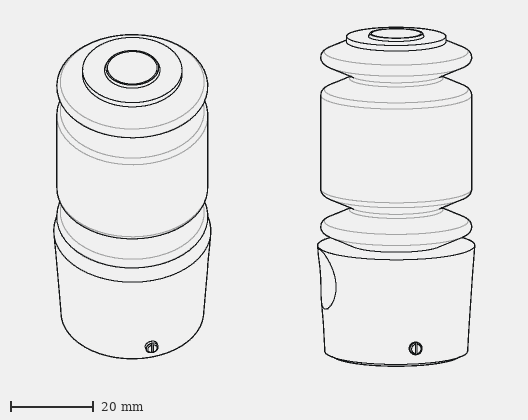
import cadquery as cq
import math

total_height = 78.8
base_height = 0.8
cup_top = 26.8
neck_z = 27.2

cup_top_radius = 19.0
cup_bottom_radius = 17.25
base_top_radius = 16.1
base_bottom_radius = 15.6

ridge_radius = 36.5 / 2
ridge_round = 1.5
groove_radius = 10.95
groove_round = 0.55
cone_angle = math.radians(24.5)
lower_ridge_z = 31.4
barrel_height = 23.0

disc_radius = 24.0 / 2
disc_top = 78.1
lip_bottom_radius = 6.7
lip_top_radius = 6.4
bore_radius = 12.0 / 2

port_diameter = 14.5
port_z = 19.4

screw_diameter = 3.0
screw_tip = 18.7
screw_root = 15.75
screw_z = 4.7
screw_chamfer = 0.3
slot_width = 0.4
slot_depth = 0.4

ridge_tangent_r = ridge_radius - ridge_round * (1 - math.sin(cone_angle))
ridge_tangent_z = ridge_round * math.cos(cone_angle)
groove_tangent_r = groove_radius + groove_round * (1 - math.sin(cone_angle))
groove_tangent_z = groove_round * math.cos(cone_angle)
cone_height = (ridge_tangent_r - groove_tangent_r) * math.tan(cone_angle)
ridge_to_groove = ridge_tangent_z + cone_height + groove_tangent_z

lower_groove_z = lower_ridge_z + ridge_to_groove
barrel_bottom = lower_groove_z + ridge_to_groove
barrel_top = barrel_bottom + barrel_height
upper_groove_z = barrel_top + ridge_to_groove
upper_ridge_z = upper_groove_z + ridge_to_groove
neck_radius = ridge_tangent_r - (lower_ridge_z - ridge_tangent_z - neck_z) / math.tan(cone_angle)
disc_bottom = upper_ridge_z + ridge_tangent_z + (ridge_tangent_r - disc_radius) * math.tan(cone_angle)


def add_ridge(outline, bottom_z, top_z):
    """Continue the outline around a rounded ridge, with a straight wall if it is tall."""
    middle_r = ridge_radius - ridge_round * (1 - math.cos((math.pi / 2 - cone_angle) / 2))
    middle_z = ridge_round * math.sin((math.pi / 2 - cone_angle) / 2)
    outline = outline.lineTo(ridge_tangent_r, bottom_z - ridge_tangent_z)
    if top_z == bottom_z:
        return outline.threePointArc(
            (ridge_radius, top_z), (ridge_tangent_r, top_z + ridge_tangent_z)
        )
    outline = outline.threePointArc((middle_r, bottom_z - middle_z), (ridge_radius, bottom_z))
    outline = outline.lineTo(ridge_radius, top_z)
    return outline.threePointArc(
        (middle_r, top_z + middle_z), (ridge_tangent_r, top_z + ridge_tangent_z)
    )


def add_groove(outline, z):
    """Continue the outline down a cone, around a rounded groove."""
    outline = outline.lineTo(groove_tangent_r, z - groove_tangent_z)
    return outline.threePointArc((groove_radius, z), (groove_tangent_r, z + groove_tangent_z))


def make_body():
    outline = (
        cq.Workplane("XZ")
        .moveTo(bore_radius, 0)
        .lineTo(base_bottom_radius, 0)
        .lineTo(base_top_radius, base_height)
        .lineTo(cup_bottom_radius, base_height)
        .lineTo(cup_top_radius, cup_top)
        .lineTo(neck_radius, neck_z)
    )
    outline = add_ridge(outline, lower_ridge_z, lower_ridge_z)
    outline = add_groove(outline, lower_groove_z)
    outline = add_ridge(outline, barrel_bottom, barrel_top)
    outline = add_groove(outline, upper_groove_z)
    outline = add_ridge(outline, upper_ridge_z, upper_ridge_z)
    outline = (
        outline.lineTo(disc_radius, disc_bottom)
        .lineTo(disc_radius, disc_top)
        .lineTo(lip_bottom_radius, disc_top)
        .lineTo(lip_top_radius, total_height)
        .lineTo(bore_radius, total_height)
        .close()
    )
    return outline.revolve(360, (0, 0, 0), (0, 1, 0))


def make_port():
    """Radial hole from the +Y side into the bore."""
    return (
        cq.Workplane("XZ", origin=(0, 0, port_z))
        .circle(port_diameter / 2)
        .extrude(-cup_top_radius)
    )


def make_screw():
    """Screw pointing along +X, with a chamfered head and an upright slot."""
    screw = (
        cq.Workplane("YZ", origin=(screw_root, 0, screw_z))
        .circle(screw_diameter / 2)
        .extrude(screw_tip - screw_root)
        .faces(">X")
        .chamfer(screw_chamfer)
    )
    slot = (
        cq.Workplane("YZ", origin=(screw_tip - slot_depth, 0, screw_z))
        .rect(slot_width, screw_diameter)
        .extrude(slot_depth)
    )
    return screw.cut(slot)


result = make_body().cut(make_port())
for turn in (0, 180):
    result = result.union(make_screw().rotate((0, 0, 0), (0, 0, 1), turn))